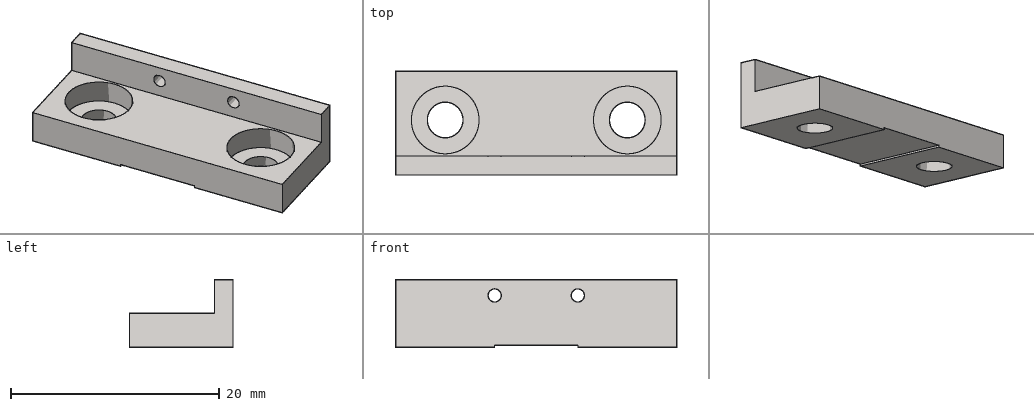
import cadquery as cq

length = 27.0
depth = 10.0
height = 6.5
base_height = 3.3
wall_thickness = 1.8

mount_spacing = 17.5
mount_y = 5.3
mount_diameter = 3.4
counterbore_diameter = 6.5
counterbore_depth = 2.2

pin_spacing = 8.0
pin_z = 5.0
pin_diameter = 1.25

relief_width = pin_spacing
relief_depth = 0.2


def make_body():
    """L-shaped bar, centred on X, with the wall along the front edge."""
    return (
        cq.Workplane("YZ")
        .moveTo(0, 0)
        .lineTo(depth, 0)
        .lineTo(depth, base_height)
        .lineTo(wall_thickness, base_height)
        .lineTo(wall_thickness, height)
        .lineTo(0, height)
        .close()
        .extrude(length / 2, both=True)
    )


def make_mount_holes():
    """Through holes joined to the counterbores above them."""
    centers = [(-mount_spacing / 2, mount_y), (mount_spacing / 2, mount_y)]
    holes = cq.Workplane("XY").pushPoints(centers).circle(mount_diameter / 2).extrude(base_height)
    counterbores = (
        cq.Workplane("XY", origin=(0, 0, base_height))
        .pushPoints(centers)
        .circle(counterbore_diameter / 2)
        .extrude(-counterbore_depth)
    )
    return holes.union(counterbores)


def make_pin_holes():
    """Horizontal holes running through the wall thickness."""
    centers = [(-pin_spacing / 2, pin_z), (pin_spacing / 2, pin_z)]
    return cq.Workplane("XZ").pushPoints(centers).circle(pin_diameter / 2).extrude(-wall_thickness)


def make_relief():
    """Shallow channel along the full depth of the underside."""
    return cq.Workplane("XY").box(relief_width, depth, relief_depth, centered=(True, False, False))


result = make_body().cut(make_mount_holes()).cut(make_pin_holes()).cut(make_relief())